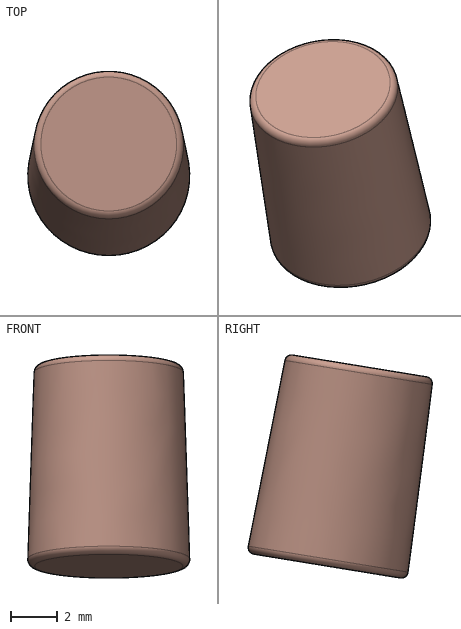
import cadquery as cq
import math

height = 8.8
base_diameter = 7.05
draft_angle = 1.9
edge_radius = 0.3
tilt_angle = 9.25

base_radius = base_diameter / 2
top_radius = base_radius - height * math.tan(math.radians(draft_angle))


def make_tapered_plug():
    """Upright truncated cone, centred on Z, with both end edges rounded."""
    half_profile = (
        cq.Workplane("YZ")
        .moveTo(0, 0)
        .lineTo(-base_radius, 0)
        .lineTo(-top_radius, height)
        .lineTo(0, height)
        .close()
    )
    cone = half_profile.revolve(360, (0, 0), (0, 1))
    return cone.faces("<Z or >Z").edges().fillet(edge_radius)


def lean_toward_back(body):
    """Tilt the body about X through the base centre, so its top moves toward +Y."""
    return body.rotate((0, 0, 0), (1, 0, 0), -tilt_angle)


result = lean_toward_back(make_tapered_plug())